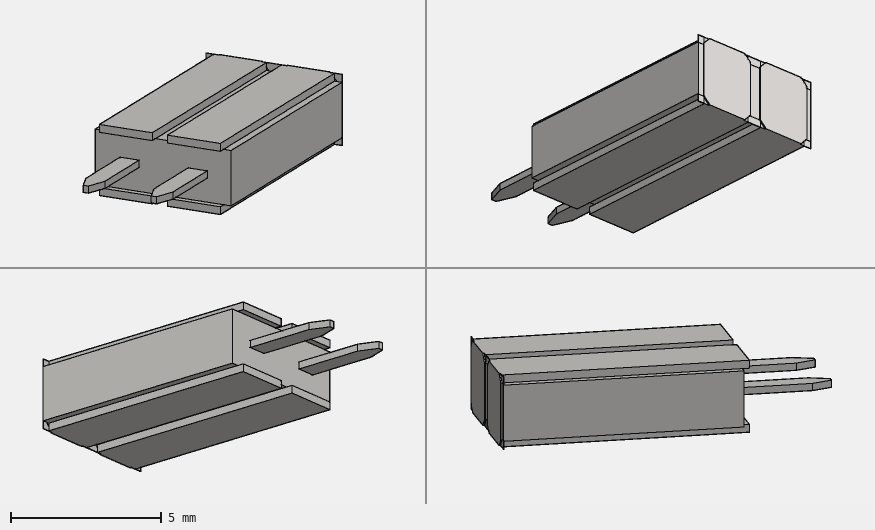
import cadquery as cq

pitch = 2.54
pin_count = 2
housing_width = pin_count * pitch
housing_height = 2.5
total_length = 11.5

pin_width = 0.71
pin_thickness = 0.25
pin_reach = 3.24
pin_tip_width = 0.2
pin_taper_length = 0.7
pin_depth = 2.3
pin_offset = 0.02

rib_width = 1.98
rib_height = 0.28
rib_overhang = 0.24
core_height = housing_height - 2 * rib_height
housing_depth = total_length - pin_reach
flange_thickness = 0.02
pad_thickness = 0.05
pad_width = 2.09
pad_chamfer = 0.25
flange_back = housing_depth - pad_thickness

rib_centers = [(i - (pin_count - 1) / 2) * pitch for i in range(pin_count)]
pin_centers = [x + pin_offset for x in rib_centers]


def block(width, y_start, y_end, height, x=0):
    """Box centred on x and on Z = 0, running from y_start to y_end."""
    return (
        cq.Workplane("XY")
        .box(width, y_end - y_start, height, centered=(True, False, True))
        .translate((x, y_start, 0))
    )


def make_back_pad(x):
    """Full-height pad with chamfered corners, raised from the flange."""
    pad = block(pad_width, flange_back, housing_depth, housing_height, x)
    return pad.edges("|Y").chamfer(pad_chamfer)


def make_pin(x):
    """Flat pin with a tapered front tip and a plain seated end."""
    half = pin_width / 2
    half_tip = pin_tip_width / 2
    taper_start = pin_taper_length - pin_reach
    outline = [
        (x - half, pin_depth),
        (x - half, taper_start),
        (x - half_tip, -pin_reach),
        (x + half_tip, -pin_reach),
        (x + half, taper_start),
        (x + half, pin_depth),
    ]
    return (
        cq.Workplane("XY", origin=(0, 0, -pin_thickness / 2))
        .polyline(outline)
        .close()
        .extrude(pin_thickness)
    )


def make_housing():
    """Core, back flange, ribs and back pads, and pin slots."""
    body = block(housing_width, 0, flange_back, core_height)
    flange_front = flange_back - flange_thickness
    body = body.union(block(housing_width, flange_front, flange_back, housing_height))
    rib_z = (housing_height - rib_height) / 2
    for x in rib_centers:
        rib = block(rib_width, -rib_overhang, flange_back, rib_height, x)
        for z in (-rib_z, rib_z):
            body = body.union(rib.translate((0, 0, z)))
        body = body.union(make_back_pad(x))
    for x in pin_centers:
        body = body.cut(block(pin_width, 0, pin_depth, pin_thickness, x))
    return body


housing = make_housing()
pins = [make_pin(x) for x in pin_centers]

result = cq.Compound.makeCompound([housing.val(), *[pin.val() for pin in pins]])